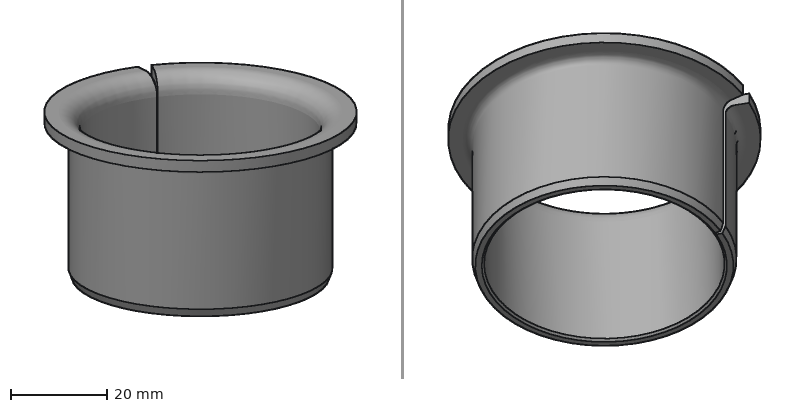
import cadquery as cq
import math

bore_radius = 25.0
wall = 2.5
flange_radius = 32.5
height = 36.0
outer_bend_radius = 2.0
chamfer_height = 1.8
chamfer_angle = 20.0
bore_chamfer = 0.5
groove_web = 0.11
groove_floor_width = 0.25
groove_rim_width = 3.0
cut_margin = 1.0

sleeve_radius = bore_radius + wall
inner_bend_radius = outer_bend_radius + wall
bend_center_radius = bore_radius + inner_bend_radius
bend_center_z = height - inner_bend_radius
flange_bottom_z = height - wall
chamfer_width = chamfer_height * math.tan(math.radians(chamfer_angle))


def point_on_bend(radius):
    """Midpoint of a quarter bend, in the (radius, height) half-plane."""
    offset = radius * math.sqrt(0.5)
    return (bend_center_radius - offset, bend_center_z + offset)


def flanged_sleeve():
    """Sleeve flared into a flange, revolved around Z."""
    return (
        cq.Workplane("XZ")
        .moveTo(bore_radius, bore_chamfer)
        .lineTo(bore_radius + bore_chamfer, 0)
        .lineTo(sleeve_radius - chamfer_width, 0)
        .lineTo(sleeve_radius, chamfer_height)
        .lineTo(sleeve_radius, bend_center_z)
        .threePointArc(point_on_bend(outer_bend_radius), (bend_center_radius, flange_bottom_z))
        .lineTo(flange_radius, flange_bottom_z)
        .lineTo(flange_radius, height)
        .lineTo(bend_center_radius, height)
        .threePointArc(point_on_bend(inner_bend_radius), (bore_radius, bend_center_z))
        .close()
        .revolve(360, (0, 0, 0), (0, 1, 0))
    )


def groove():
    """Full-height V-shaped cutter on the -X side, with a narrow flat floor."""
    floor_x = bore_radius + groove_web
    floor_y = groove_floor_width / 2
    rim_y = groove_rim_width / 2
    rim_x = math.sqrt(flange_radius**2 - rim_y**2)
    flank_slope = (rim_y - floor_y) / (rim_x - floor_x)
    outer_x = flange_radius + cut_margin
    outer_y = floor_y + flank_slope * (outer_x - floor_x)
    return (
        cq.Workplane("XY", origin=(0, 0, -cut_margin))
        .polyline([(-floor_x, floor_y), (-outer_x, outer_y), (-outer_x, -outer_y), (-floor_x, -floor_y)])
        .close()
        .extrude(height + 2 * cut_margin)
    )


result = flanged_sleeve().rotate((0, 0, 0), (0, 0, 1), 180).cut(groove())